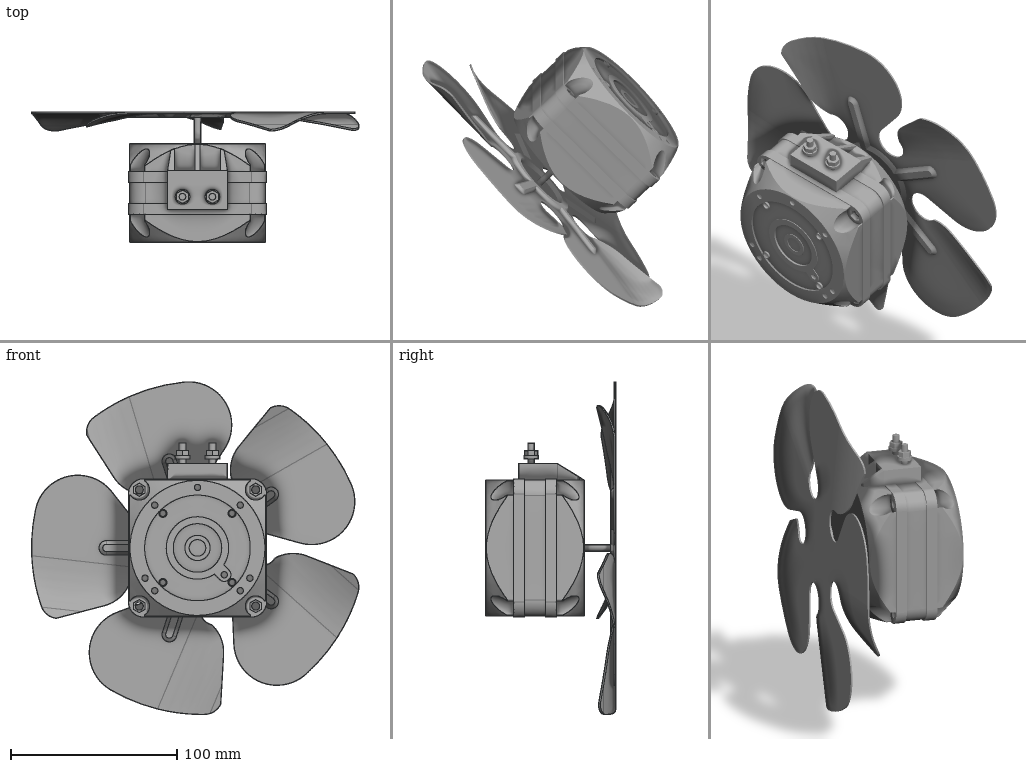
import cadquery as cq
import math

fan_back_y = 78.3
motor_depth = 59.3
motor_half = 41.0
motor_corner_radius = 9.5

face_radius = 40.5
cone_angle = 40.0

strip_half = 41.5
strip_corner_radius = 9.2
strip_width = 6.5
strip_front_y = 16.8

bolt_offset = 35.0
bolt_hole_radius = 2.4
hex_pocket_flats = 6.8
hex_pocket_depth = 3.4
scoop_radius = 6.2
corner_notch_start = 31.7

cover_radius = 31.7
cover_depth = 1.2
cover_screw_offset = 20.8
cover_lug_radius = 2.4
bearing_cap_radius = 18.8
bearing_cap_depth = 0.8
cap_lug_circle = 22.8
cap_lug_radius = 4.0
cap_lug_angle = -45
cap_bore_radius = 14.5
cap_bore_depth = 2.0
shaft_collar_radius = 7.5
shaft_collar_depth = 1.5
shaft_end_radius = 5.0
small_hole_radius = 1.9
small_hole_depth = 3.0
flange_hole_circle = 36.3
flange_hole_angles = (90, 45, 135, -30, -150, -45, -135)

block_half_width = 18.0
block_front_y = 19.8
block_back_y = 43.1
block_top_z = 50.7
rib_end_y = 58.9
middle_rib_half_width = 1.4
outer_rib_inner_x = 13.8
outer_rib_tip_x = 16.0
outer_rib_tip_y = 55.5
outer_rib_inner_y = 56.3

stud_x = 9.0
stud_y = 27.3
stud_radius = 2.0
stud_top_z = 62.9
washer_radius = 4.4
washer_bottom_z = 53.5
washer_height = 2.0
nut_flats = 7.0
nut_height = 3.0

shaft_radius = 2.0
shaft_embed = 2.0

sheet = 1.0
bend_radius = 63.9
bend_angle = math.radians(28)
blade_bends = ((6.4, 15.8), (1.4, 13.4), (6.4, 15.8), (5.8, 15.5), (4.9, 15.5))
blade_count = len(blade_bends)
tip_flat_length = 12.0
notch_circle = 38.3
notch_angle = math.radians(142.8)
notch_radius = 9.8
lobe_center = (-71.9, 17.8)
lobe_radius = 26.0
lobe_middle_angle = math.radians(105)
lobe_end_angle = math.radians(168)
rim_middle = (-99.6, -4.0)
tip_start = (-93.8, -35.0)
tip_middle = (-89.8, -40.3)
tip_end = (-84.8, -42.3)
trail_round_start = (-55.9, -34.7)
trail_round_middle = (-44.3, -27.3)
trail_round_end = (-39.5, -17.0)
bead_height = 2.2
bead_slope = 45
bead_half_width = 4.4
bead_tip_radius = 59.0
ring_bead_radius = 20.4

OVERSIZE = 119.8
corners = [(sx, sz) for sx in (-1, 1) for sz in (-1, 1)]


def along_y(y):
    """Workplane at depth y with local x = X, local y = Z; extrude(-d) goes toward +Y."""
    return cq.Workplane("XZ", origin=(0, y, 0))


def cylinder_y(radius, y0, y1, points=((0, 0),)):
    return along_y(y0).pushPoints(points).circle(radius).extrude(y0 - y1)


def rounded_square(half, radius, y0, y1):
    return along_y(y0).rect(2 * half, 2 * half).extrude(y0 - y1).edges("|Y").fillet(radius)


def hexagon(workplane, across_flats):
    """Hexagon with two corners on the workplane's local y axis."""
    return workplane.transformed(rotate=(0, 0, 90)).polygon(6, across_flats / math.cos(math.pi / 6))


def polar(radius, angle):
    return (radius * math.cos(angle), radius * math.sin(angle))


def motor_body():
    body = rounded_square(motor_half, motor_corner_radius, 0, motor_depth)
    mid_y = motor_depth / 2
    mid_radius = face_radius + mid_y * math.tan(math.radians(cone_angle))
    double_cone = (
        cq.Workplane("XY")
        .lineTo(face_radius, 0)
        .lineTo(mid_radius, mid_y)
        .lineTo(face_radius, motor_depth)
        .lineTo(0, motor_depth)
        .close()
        .revolve(360, (0, 0, 0), (0, 1, 0))
    )
    body = body.intersect(double_cone)
    for y0, y1 in ((0, strip_front_y), (motor_depth - strip_front_y, motor_depth)):
        for sx, sz in corners:
            body = body.cut(cylinder_y(scoop_radius, y0, y1, [(sx * bolt_offset, sz * bolt_offset)]))
            notch_center = corner_notch_start + OVERSIZE / 2
            notch = along_y(y0).center(sx * notch_center, sz * notch_center)
            body = body.cut(notch.rect(OVERSIZE, OVERSIZE).extrude(y0 - y1))
    return body


def add_strips(body):
    for y0 in (strip_front_y, motor_depth - strip_front_y - strip_width):
        body = body.union(rounded_square(strip_half, strip_corner_radius, y0, y0 + strip_width))
    return body


def cut_bolt_holes(body):
    points = [(sx * bolt_offset, sz * bolt_offset) for sx, sz in corners]
    body = body.cut(cylinder_y(bolt_hole_radius, 0, motor_depth, points))
    for x, z in points:
        pocket = hexagon(along_y(strip_front_y).center(x, z), hex_pocket_flats)
        body = body.cut(pocket.extrude(-hex_pocket_depth))
    return body


def shape_front_face(body):
    screws = [(sx * cover_screw_offset, sz * cover_screw_offset) for sx, sz in corners]
    recess = cylinder_y(cover_radius, 0, cover_depth)
    body = body.cut(recess.cut(cylinder_y(cover_lug_radius, 0, cover_depth, screws)))

    lug_length = cap_lug_circle + 2 * cap_lug_radius
    lug = (
        along_y(bearing_cap_depth).transformed(rotate=(0, 0, cap_lug_angle))
        .center(cap_lug_circle / 2, 0)
        .slot2D(lug_length, 2 * cap_lug_radius)
        .extrude(bearing_cap_depth - cover_depth)
    )
    body = body.union(cylinder_y(bearing_cap_radius, bearing_cap_depth, cover_depth).union(lug))

    collar = cylinder_y(shaft_collar_radius, shaft_collar_depth, cap_bore_depth)
    collar = collar.cut(cylinder_y(shaft_end_radius, shaft_collar_depth, cap_bore_depth))
    body = body.cut(cylinder_y(cap_bore_radius, 0, cap_bore_depth)).union(collar)

    holes = screws + [polar(cap_lug_circle, math.radians(cap_lug_angle))]
    holes += [polar(flange_hole_circle, math.radians(angle)) for angle in flange_hole_angles]
    return body.cut(cylinder_y(small_hole_radius, 0, small_hole_depth, holes))


def terminal_block():
    height = block_top_z - motor_half
    block_depth = block_back_y - block_front_y
    plan = cq.Workplane("XY", origin=(0, 0, motor_half))
    block_plan = plan.center(0, block_front_y + block_depth / 2)
    block = block_plan.rect(2 * block_half_width, block_depth).extrude(height)

    wedge = (
        cq.Workplane("YZ", origin=(-block_half_width, 0, 0))
        .polyline([(block_back_y, motor_half), (block_back_y, block_top_z), (rib_end_y, motor_half)])
        .close()
        .extrude(2 * block_half_width)
    )
    middle = plan.center(0, (block_back_y + rib_end_y) / 2)
    ribs = middle.rect(2 * middle_rib_half_width, rib_end_y - block_back_y).extrude(height)
    outer = (
        plan.moveTo(outer_rib_inner_x, block_back_y)
        .lineTo(block_half_width, block_back_y)
        .lineTo(outer_rib_tip_x, outer_rib_tip_y)
        .lineTo(outer_rib_inner_x, outer_rib_inner_y)
        .close()
        .extrude(height)
    )
    ribs = ribs.union(outer).union(outer.mirror("YZ"))
    return block.union(wedge.intersect(ribs))


def stud(x):
    base = cq.Workplane("XY", origin=(x, stud_y, block_top_z))
    shank = base.circle(stud_radius).extrude(stud_top_z - block_top_z)
    washer_base = base.workplane(offset=washer_bottom_z - block_top_z)
    washer = washer_base.circle(washer_radius).extrude(washer_height)
    nut_base = base.workplane(offset=washer_bottom_z + washer_height - block_top_z)
    nut = hexagon(nut_base, nut_flats).extrude(nut_height)
    return shank.union(washer).union(nut)


def offset_point(point, radius, angle):
    dx, dz = polar(radius, angle)
    return (point[0] + dx, point[1] + dz)


def bent_sheet(line_tilt, line_offset):
    """Sheet that is flat above the bend line and rolled toward the motor below it."""
    tilt = math.radians(line_tilt)
    direction = (-math.cos(tilt), 0, math.sin(tilt))
    away = (-math.sin(tilt), 0, -math.cos(tilt))
    origin = (away[0] * line_offset, fan_back_y, away[2] * line_offset)
    plane = cq.Plane(origin=origin, xDir=away, normal=direction)
    center_height = sheet + bend_radius

    def on_bend(radius, angle, run=0.0):
        return (
            radius * math.sin(angle) + run * math.cos(angle),
            center_height - radius * math.cos(angle) + run * math.sin(angle),
        )

    outside = bend_radius + sheet
    profile = (
        cq.Workplane(plane)
        .moveTo(-OVERSIZE, 0)
        .lineTo(0, 0)
        .threePointArc(on_bend(outside, bend_angle / 2), on_bend(outside, bend_angle))
        .lineTo(*on_bend(outside, bend_angle, tip_flat_length))
        .lineTo(*on_bend(bend_radius, bend_angle, tip_flat_length))
        .lineTo(*on_bend(bend_radius, bend_angle))
        .threePointArc(on_bend(bend_radius, bend_angle / 2), (0, sheet))
        .lineTo(-OVERSIZE, sheet)
        .close()
    )
    return profile.extrude(OVERSIZE, both=True)


def blade_outline():
    """Prism over the outline of the blade that points to -X, reaching in to the axis."""
    notch_above = polar(notch_circle, notch_angle)
    notch_below = polar(notch_circle, notch_angle + 2 * math.pi / blade_count)
    dx = lobe_center[0] - notch_above[0]
    dz = lobe_center[1] - notch_above[1]
    tangent_normal = math.atan2(dz, dx) + math.acos((notch_radius + lobe_radius) / math.hypot(dx, dz))
    lead_start = offset_point(notch_above, notch_radius, tangent_normal)
    lead_end = offset_point(lobe_center, -lobe_radius, tangent_normal)
    lobe_middle = offset_point(lobe_center, lobe_radius, lobe_middle_angle)
    lobe_end = offset_point(lobe_center, lobe_radius, lobe_end_angle)
    return (
        along_y(0)
        .lineTo(*notch_above)
        .lineTo(*lead_start)
        .lineTo(*lead_end)
        .threePointArc(lobe_middle, lobe_end)
        .threePointArc(rim_middle, tip_start)
        .threePointArc(tip_middle, tip_end)
        .lineTo(*trail_round_start)
        .threePointArc(trail_round_middle, trail_round_end)
        .lineTo(*notch_below)
        .close()
        .extrude(-OVERSIZE)
    )


def fan():
    front_y = fan_back_y - sheet
    rib_length = bead_tip_radius - ring_bead_radius + bead_half_width
    rib_middle = -(ring_bead_radius - bead_half_width + bead_tip_radius) / 2
    rib_bead = (
        along_y(front_y).center(rib_middle, 0)
        .slot2D(rib_length, 2 * bead_half_width).extrude(bead_height, taper=bead_slope)
    )
    top_half_width = bead_half_width - bead_height * math.tan(math.radians(bead_slope))
    ring_bead = (
        cq.Workplane("XY")
        .polyline([
            (ring_bead_radius - bead_half_width, front_y),
            (ring_bead_radius + bead_half_width, front_y),
            (ring_bead_radius + top_half_width, front_y - bead_height),
            (ring_bead_radius - top_half_width, front_y - bead_height),
        ])
        .close()
        .revolve(360, (0, 0, 0), (0, 1, 0))
    )
    notch = cylinder_y(notch_radius, 0, fan_back_y, [polar(notch_circle, notch_angle)])
    turns = [360 / blade_count * i for i in range(blade_count)]
    axis = ((0, 0, 0), (0, 1, 0))
    wheel = ring_bead
    for turn, bend in zip(turns, blade_bends):
        blade = bent_sheet(*bend).intersect(blade_outline())
        wheel = wheel.union(blade.rotate(*axis, turn))
    for turn in turns:
        wheel = wheel.cut(notch.rotate(*axis, turn))
    for turn in turns:
        wheel = wheel.union(rib_bead.rotate(*axis, turn))
    return wheel


motor = shape_front_face(cut_bolt_holes(add_strips(motor_body())))
motor = motor.union(terminal_block()).union(stud(-stud_x)).union(stud(stud_x))
shaft = cylinder_y(shaft_radius, motor_depth - shaft_embed, fan_back_y)
result = motor.union(shaft).union(fan())